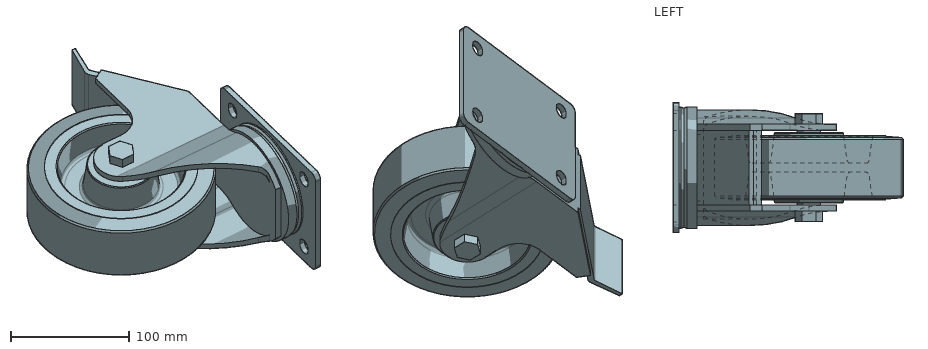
import cadquery as cq
import math


wheel_radius = 80.0
tread_half_width = 24.0
tyre_shoulder_radius = 78.5
tyre_shoulder_half_width = 25.5
tyre_side_half_width = 26.7
rim_radius = 130.0 / 2
rim_half_width = 27.2
rim_lip_radius = 55.2
rim_lip_chamfer = 1.0
rim_root_radius = 51.1
web_half_width = 3.8
web_fillet = 3.2
hub_radius = 29.3
hub_root_radius = 32.3
hub_half_width = 30.0
hub_chamfer = 0.8

axle_diameter = 20.0
bolt_across_flats = 20.2
bolt_head_half_span = 45.8

plate_length = 140.0
plate_width = 110.0
plate_thickness = 5.0
plate_corner_radius = 6.5
plate_top = 115.0
swivel_offset = 60.0
hole_spacing_x = 105.0
hole_spacing_z = 77.5
hole_width = 11.8
hole_length = 14.3
head_radius = 103.0 / 2
head_collar_radius = 51.5
head_groove_depth = 1.0
head_collar_height = 1.3
head_groove_width = 5.0

sheet = 5.5
fork_top = 94.8
fork_half_width = 37.0
fork_swell_radius = 49.0
swell_start = 16.7
fork_front = 100.1
fork_back = -35.3
leg_end_radius = 23.5
leg_notch_radius = 23.7
leg_wing_bottom = 39.5
leg_wing_tip = (-100.0, 49.8)
leg_wing_heel_x = -93.7
leg_lip_corner_x = 85.3
leg_lip_fillet = 10.8

pedal_rise = 1.75
pedal_overhang = 129.2
tab_end_top = 50.5
tab_end_thickness = 3.5
tab_bend_top = 44.5
tab_bend_bottom = 39.5
tab_bend_outer_radius = 5.5
tab_bend_inner_radius = 1.5

fork_inner_half_width = fork_half_width - sheet
fork_underside = fork_top - sheet
tab_end_x = swivel_offset - plate_length / 2 - pedal_overhang


def mirrored(body):
    """Join a body with its mirror image across the mid plane of the wheel."""
    return body.union(body.mirror("XY"))


def fillet_upright_edge(body, corner, radius):
    """Round the one edge along Z that passes through an (x, y) corner."""
    nearest = cq.selectors.NearestToPointSelector((corner[0], corner[1], 0))
    return body.edges("|Z").edges(nearest).fillet(radius)


def make_wheel():
    """Cylinder as wide as the hub, hollowed on both sides to form the tyre, rim, web and hub."""
    blank = cq.Workplane("XY").circle(wheel_radius).extrude(hub_half_width, both=True)
    hollow_section = (
        cq.Workplane("XZ")
        .moveTo(hub_radius - hub_chamfer, hub_half_width)
        .lineTo(hub_radius, hub_half_width - hub_chamfer)
        .lineTo(hub_root_radius, web_half_width + web_fillet)
        .radiusArc((hub_root_radius + web_fillet, web_half_width), -web_fillet)
        .lineTo(rim_root_radius - web_fillet, web_half_width)
        .radiusArc((rim_root_radius, web_half_width + web_fillet), -web_fillet)
        .lineTo(rim_lip_radius - rim_lip_chamfer, rim_half_width - rim_lip_chamfer)
        .lineTo(rim_lip_radius, rim_half_width)
        .lineTo(rim_radius, rim_half_width)
        .lineTo(rim_radius, tyre_side_half_width)
        .lineTo(tyre_shoulder_radius, tyre_shoulder_half_width)
        .lineTo(wheel_radius, tread_half_width)
        .lineTo(wheel_radius, hub_half_width)
        .close()
    )
    hollow = hollow_section.revolve(360, (0, 0, 0), (0, 1, 0))
    return blank.cut(hollow).cut(hollow.mirror("XY"))


def make_axle():
    """Round axle between the fork legs with a hexagonal head outside each leg."""
    axle = cq.Workplane("XY").circle(axle_diameter / 2).extrude(fork_half_width)
    across_corners = bolt_across_flats / math.cos(math.pi / 6)
    head = (
        cq.Workplane("XY", origin=(0, 0, fork_inner_half_width))
        .polygon(6, across_corners)
        .extrude(bolt_head_half_span - fork_inner_half_width)
        .rotate((0, 0, 0), (0, 0, 1), 90)
    )
    return mirrored(axle.union(head))


def make_plate():
    """Rounded rectangular plate with four slotted holes, its slots running along Z."""
    return (
        cq.Workplane("XZ", origin=(swivel_offset, plate_top, 0))
        .rect(plate_length, plate_width)
        .extrude(plate_thickness)
        .edges("|Y")
        .fillet(plate_corner_radius)
        .faces(">Y")
        .workplane()
        .rarray(hole_spacing_x, hole_spacing_z, 2, 2)
        .slot2D(hole_length, hole_width, 90)
        .cutThruAll()
    )


def make_swivel_head():
    """Round head below the plate with a V groove under a thin collar."""
    plate_bottom = plate_top - plate_thickness
    groove_top = plate_bottom - head_collar_height
    groove_bottom = groove_top - head_groove_width
    section = [
        (0, plate_bottom),
        (head_collar_radius, plate_bottom),
        (head_collar_radius, groove_top),
        (head_radius - head_groove_depth, (groove_top + groove_bottom) / 2),
        (head_radius, groove_bottom),
        (head_radius, fork_top),
        (0, fork_top),
    ]
    body = cq.Workplane("XY").polyline(section).close().revolve(360, (0, 0, 0), (0, 1, 0))
    return body.translate((swivel_offset, 0, 0))


def fork_plan(half_width, swell_radius):
    """Solid with the fork's plan outline: a parallel back that swells into an arc about the swivel axis."""
    reach = swivel_offset - swell_start
    blend_radius = (reach**2 + half_width**2 - swell_radius**2) / (2 * (swell_radius - half_width))
    blend_center_z = half_width + blend_radius
    share = swell_radius / (swell_radius + blend_radius)
    join = (swivel_offset - reach * share, blend_center_z * share)
    front_z = math.sqrt(swell_radius**2 - (fork_front - swivel_offset) ** 2)
    back = leg_wing_tip[0]
    half = (
        cq.Workplane("XZ", origin=(0, fork_top, 0))
        .moveTo(back, 0)
        .lineTo(back, half_width)
        .lineTo(swell_start, half_width)
        .radiusArc(join, -blend_radius)
        .radiusArc((fork_front, front_z), swell_radius)
        .lineTo(fork_front, 0)
        .close()
        .extrude(fork_top + leg_end_radius)
    )
    return mirrored(half)


def side_profile():
    """Side shape of a fork leg, extended across the full width of the fork."""
    corner_distance = math.hypot(leg_lip_corner_x, fork_underside)
    tangent_angle = math.atan2(fork_underside, leg_lip_corner_x) - math.acos(leg_end_radius / corner_distance)
    tangent_point = (leg_end_radius * math.cos(tangent_angle), leg_end_radius * math.sin(tangent_angle))
    notch_end = (-leg_end_radius, leg_wing_bottom - leg_notch_radius)
    body = (
        cq.Workplane("XY")
        .moveTo(fork_back, fork_top)
        .lineTo(*leg_wing_tip)
        .lineTo(leg_wing_heel_x, leg_wing_bottom)
        .lineTo(-leg_end_radius - leg_notch_radius, leg_wing_bottom)
        .radiusArc(notch_end, leg_notch_radius)
        .lineTo(-leg_end_radius, 0)
        .threePointArc((0, -leg_end_radius), tangent_point)
        .lineTo(leg_lip_corner_x, fork_underside)
        .lineTo(fork_front, fork_underside)
        .lineTo(fork_front, fork_top)
        .close()
        .extrude(fork_swell_radius, both=True)
    )
    return fillet_upright_edge(body, (leg_lip_corner_x, fork_underside), leg_lip_fillet)


def make_fork():
    """Folded sheet fork: two legs joined by a flat top, open below, behind and in front."""
    outside = fork_plan(fork_half_width, fork_swell_radius)
    cavity = fork_plan(fork_inner_half_width, fork_swell_radius - sheet).translate((0, -sheet, 0))
    return outside.cut(cavity).intersect(side_profile())


def make_pedal():
    """Sloping sheet between the fork legs, standing slightly proud of them and bent up into a foot tab."""
    run_x = fork_back - leg_wing_tip[0]
    run_y = fork_top - leg_wing_tip[1]
    stretch = math.hypot(run_x, run_y) / run_y
    outer_top_x = fork_back - pedal_rise * stretch
    inner_top_x = outer_top_x + sheet * stretch
    outer_bend_x = outer_top_x - (fork_top - tab_bend_top) * run_x / run_y
    inner_bend_x = inner_top_x - (fork_top - tab_bend_bottom) * run_x / run_y
    outline = [
        (outer_top_x, fork_top),
        (outer_bend_x, tab_bend_top),
        (tab_end_x, tab_end_top),
        (tab_end_x, tab_end_top - tab_end_thickness),
        (inner_bend_x, tab_bend_bottom),
        (inner_top_x, fork_top),
    ]
    body = cq.Workplane("XY").polyline(outline).close().extrude(fork_inner_half_width, both=True)
    body = fillet_upright_edge(body, (outer_bend_x, tab_bend_top), tab_bend_inner_radius)
    return fillet_upright_edge(body, (inner_bend_x, tab_bend_bottom), tab_bend_outer_radius)


result = (
    make_plate()
    .union(make_swivel_head())
    .union(make_fork())
    .union(make_pedal())
    .union(make_axle())
    .union(make_wheel())
)